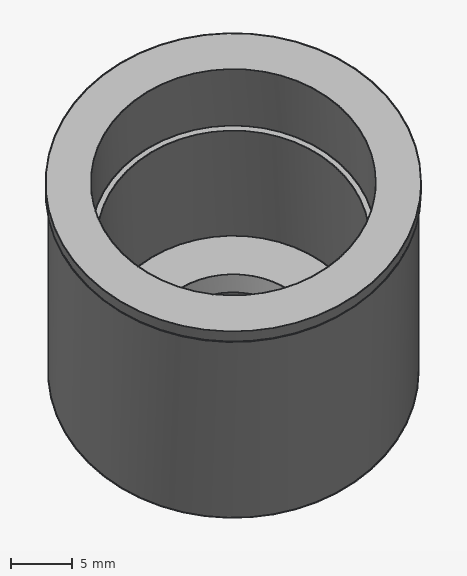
import cadquery as cq
import math

height = 25.0
rim_diameter = 30.3
body_diameter = 29.95

rim_band_height = 1.33
rim_taper_height = 0.33

mouth_diameter = 23.0
mouth_depth = 7.5
cavity_diameter = 22.0
floor_thickness = 3.5

hole_diameter = 12.6
countersink_diameter = 14.18
countersink_angle = 60.0
countersink_depth = (countersink_diameter - hole_diameter) / 2 / math.tan(math.radians(countersink_angle / 2))


def make_outer_body():
    """Revolve the plain body and its tapered rim about Z, standing on Z = 0."""
    rim_radius = rim_diameter / 2
    body_radius = body_diameter / 2
    band_bottom = height - rim_band_height
    taper_bottom = band_bottom - rim_taper_height
    profile = (
        cq.Workplane("XZ")
        .moveTo(0, 0)
        .lineTo(body_radius, 0)
        .lineTo(body_radius, taper_bottom)
        .lineTo(rim_radius, band_bottom)
        .lineTo(rim_radius, height)
        .lineTo(0, height)
        .close()
    )
    return profile.revolve(360, (0, 0, 0), (0, 1, 0))


def make_inner_space():
    """Revolve the stepped cavity and the countersunk floor hole as one cutter."""
    mouth_radius = mouth_diameter / 2
    cavity_radius = cavity_diameter / 2
    countersink_radius = countersink_diameter / 2
    hole_radius = hole_diameter / 2
    ledge_level = height - mouth_depth
    profile = (
        cq.Workplane("XZ")
        .moveTo(0, 0)
        .lineTo(hole_radius, 0)
        .lineTo(hole_radius, floor_thickness - countersink_depth)
        .lineTo(countersink_radius, floor_thickness)
        .lineTo(cavity_radius, floor_thickness)
        .lineTo(cavity_radius, ledge_level)
        .lineTo(mouth_radius, ledge_level)
        .lineTo(mouth_radius, height)
        .lineTo(0, height)
        .close()
    )
    return profile.revolve(360, (0, 0, 0), (0, 1, 0))


result = make_outer_body().cut(make_inner_space())